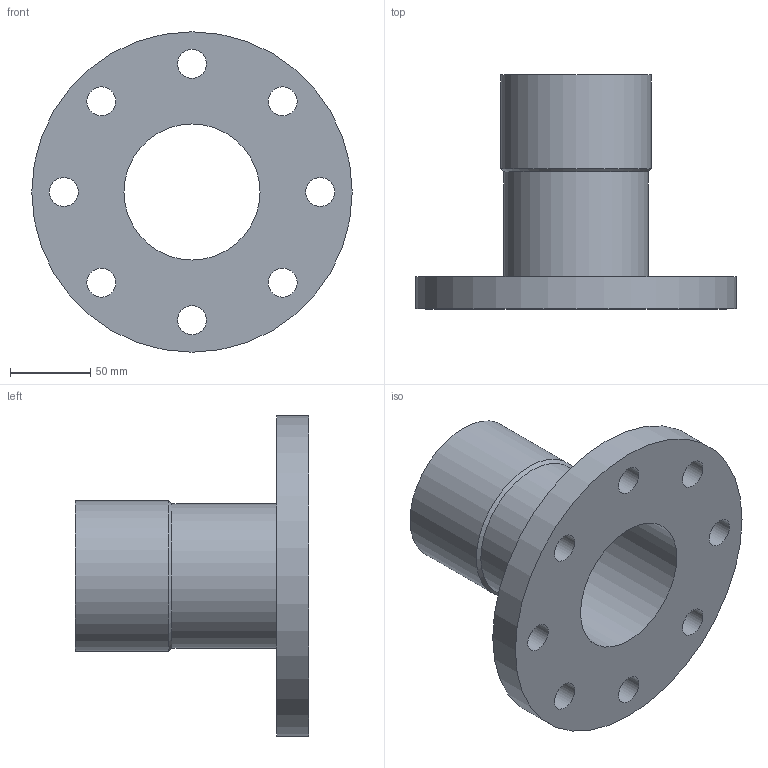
import cadquery as cq

flange_diameter = 200.0
flange_thickness = 20.0
pipe_diameter = 90.0
bore_diameter = 84.9
collar_diameter = 94.0
collar_straight_length = 58.5
total_length = 146.0
bolt_hole_diameter = 18.0
bolt_circle_diameter = 160.0
bolt_hole_count = 8

collar_taper = (collar_diameter - pipe_diameter) / 2
collar_start = total_length - collar_straight_length
taper_start = collar_start - collar_taper


def make_body():
    """Revolve the flange, pipe, collar and through bore around the Y axis."""
    bore_radius = bore_diameter / 2
    flange_radius = flange_diameter / 2
    pipe_radius = pipe_diameter / 2
    collar_radius = collar_diameter / 2
    profile = [
        (bore_radius, 0),
        (flange_radius, 0),
        (flange_radius, flange_thickness),
        (pipe_radius, flange_thickness),
        (pipe_radius, taper_start),
        (collar_radius, collar_start),
        (collar_radius, total_length),
        (bore_radius, total_length),
    ]
    return cq.Workplane("XY").polyline(profile).close().revolve(360, (0, 0), (0, 1))


def make_bolt_holes():
    """Cylinders through the flange, evenly spaced on the bolt circle."""
    return (
        cq.Workplane("XZ")
        .polarArray(bolt_circle_diameter / 2, 0, 360, bolt_hole_count)
        .circle(bolt_hole_diameter / 2)
        .extrude(-flange_thickness)
    )


result = make_body().cut(make_bolt_holes())